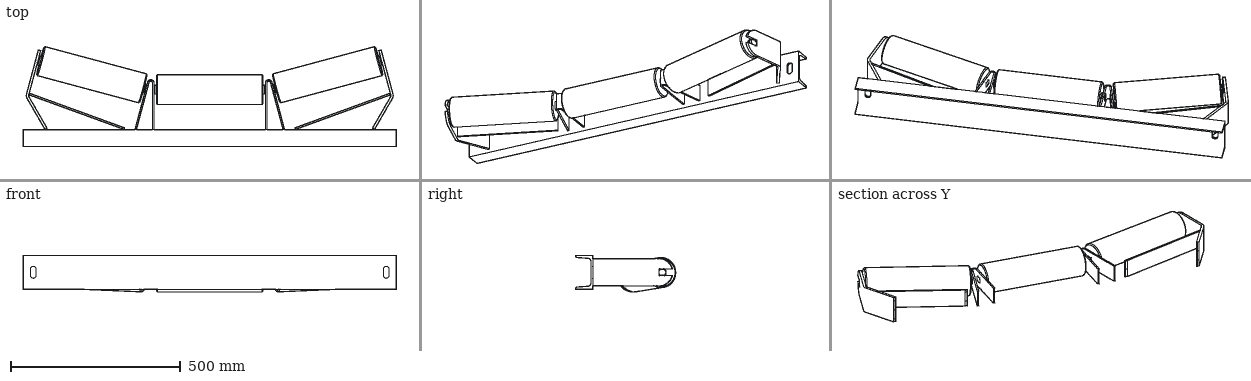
import cadquery as cq
import math


CHANNEL_LENGTH = 1100.0
CHANNEL_HEIGHT = 100.0
CHANNEL_DEPTH = 51.0
WEB_THICKNESS = 6.0
FLANGE_TIP_THICKNESS = 7.0
FLANGE_ROOT_THICKNESS = 10.0
FLANGE_ROOT_RADIUS = 9.0
FLANGE_TIP_RADIUS = 4.0
MOUNT_SLOT_LENGTH = 35.0
MOUNT_SLOT_WIDTH = 18.0
MOUNT_SLOT_X = 520.0
CHANNEL_MID_Z = CHANNEL_HEIGHT / 2

ROLLER_DIAMETER = 89.0
ROLLER_LENGTH = 315.0
ROLLER_EDGE_CHAMFER = 3.0
ROLLER_GAP = 7.0
HUB_RADIUS = 13.0
HUB_LENGTH = 4.0
SHAFT_RADIUS = 11.0
SHAFT_FLATS = 16.0
CENTRE_ROLLER_Y = 118.0
CENTRE_ROLLER_Z = 36.0
WING_ROLLER_X = 348.0
WING_ROLLER_Y = 162.0
WING_ANGLE = 15.0
WING_TILT = 2.4
WING_ROLLER_Z = CENTRE_ROLLER_Z + ROLLER_LENGTH / 2 * math.sin(math.radians(WING_TILT))

INNER_THICKNESS = 5.0
INNER_HEIGHT = 50.0
INNER_LEG_X = ROLLER_LENGTH / 2 + ROLLER_GAP
INNER_BEND_RADIUS = 10.0
INNER_TOP_Y = 147.0
SHAFT_LENGTH = 2 * (INNER_LEG_X + INNER_THICKNESS)
SHAFT_HOLE_OVERRUN = 7.0

OUTER_THICKNESS = 8.0
OUTER_HEIGHT = 80.0
OUTER_BEND_X = 542.0
OUTER_BEND_Y = 98.0
OUTER_BEND_RADIUS = 18.0
OUTER_UPPER_LENGTH = 143.0
OUTER_LOWER_ANGLE = 30.0
SLOT_WIDTH = 20.0
SLOT_CORNER_RADIUS = 3.0

BRACE_THICKNESS = 5.0
BRACE_HEIGHT = 53.0
BRACE_MID_Z = 45.0
BRACE_ANGLE = 20.0
BRACE_OFFSET = 3.0


def direction(angle):
    """Unit vector in the XY plane, angle in degrees from +X."""
    return cq.Vector(math.cos(math.radians(angle)), math.sin(math.radians(angle)), 0)


def nearest(x, y, z):
    return cq.selectors.NearestToPointSelector((x, y, z))


def upright_prism(points, height, mid_z):
    """Closed XY polygon extruded along Z and centred on mid_z."""
    outline = cq.Workplane("XY", origin=(0, 0, mid_z - height / 2))
    return outline.polyline([(p.x, p.y) for p in points]).close().extrude(height)


def x_cylinder(radius, length):
    """Cylinder along X, centred on the origin."""
    return cq.Workplane("YZ", origin=(-length / 2, 0, 0)).circle(radius).extrude(length)


def make_channel():
    half_height = CHANNEL_HEIGHT / 2
    root_z = half_height - FLANGE_ROOT_THICKNESS
    tip_z = half_height - FLANGE_TIP_THICKNESS
    channel = (
        cq.Workplane("YZ", origin=(-CHANNEL_LENGTH / 2, 0, 0))
        .polyline([
            (0, -half_height),
            (0, half_height),
            (-CHANNEL_DEPTH, half_height),
            (-CHANNEL_DEPTH, tip_z),
            (-WEB_THICKNESS, root_z),
            (-WEB_THICKNESS, -root_z),
            (-CHANNEL_DEPTH, -tip_z),
            (-CHANNEL_DEPTH, -half_height),
        ])
        .close()
        .extrude(CHANNEL_LENGTH)
    )
    for side in (-1, 1):
        channel = channel.edges(nearest(0, -WEB_THICKNESS, side * root_z)).fillet(FLANGE_ROOT_RADIUS)
        channel = channel.edges(nearest(0, -CHANNEL_DEPTH, side * tip_z)).fillet(FLANGE_TIP_RADIUS)
    mount_slots = (
        cq.Workplane("XZ")
        .pushPoints([(-MOUNT_SLOT_X, 0), (MOUNT_SLOT_X, 0)])
        .slot2D(MOUNT_SLOT_LENGTH, MOUNT_SLOT_WIDTH, 90)
        .extrude(WEB_THICKNESS)
    )
    return channel.cut(mount_slots).translate((0, 0, CHANNEL_MID_Z))


def make_shaft(length):
    """Shaft along X with a flat on its upper and lower sides."""
    flats = cq.Workplane("XY").box(length, 2 * SHAFT_RADIUS, SHAFT_FLATS)
    return x_cylinder(SHAFT_RADIUS, length).intersect(flats)


def make_roller():
    shell = x_cylinder(ROLLER_DIAMETER / 2, ROLLER_LENGTH)
    shell = shell.faces("<X or >X").chamfer(ROLLER_EDGE_CHAMFER)
    hubs = x_cylinder(HUB_RADIUS, ROLLER_LENGTH + 2 * HUB_LENGTH)
    return shell.union(hubs).union(make_shaft(SHAFT_LENGTH))


def place_centre(shape):
    return shape.translate((0, CENTRE_ROLLER_Y, CENTRE_ROLLER_Z))


def place_wing(shape):
    """Move a shape from the X axis to the left wing roller's axis."""
    tilted = shape.rotate((0, 0, 0), (0, 1, 0), WING_TILT)
    swung = tilted.rotate((0, 0, 0), (0, 0, 1), -WING_ANGLE)
    return swung.translate((-WING_ROLLER_X, WING_ROLLER_Y, WING_ROLLER_Z))


def folded_blank(bend_radius):
    """Solid wedge bounded by both legs, their bend and the channel face."""
    bend_x = -INNER_LEG_X - INNER_BEND_RADIUS
    bend_y = INNER_TOP_Y - INNER_BEND_RADIUS
    bend_centre = cq.Vector(bend_x, bend_y, 0)
    bend_middle = bend_centre + direction(90 - WING_ANGLE / 2) * bend_radius
    bend_end = bend_centre + direction(180 - WING_ANGLE) * bend_radius
    foot_x = bend_end.x - bend_end.y * math.tan(math.radians(WING_ANGLE))
    return (
        cq.Workplane("XY", origin=(0, 0, CENTRE_ROLLER_Z - INNER_HEIGHT / 2))
        .moveTo(bend_x + bend_radius, 0)
        .lineTo(bend_x + bend_radius, bend_y)
        .threePointArc((bend_middle.x, bend_middle.y), (bend_end.x, bend_end.y))
        .lineTo(foot_x, 0)
        .close()
        .extrude(INNER_HEIGHT)
    )


def make_inner_bracket():
    sheet = folded_blank(INNER_BEND_RADIUS).cut(folded_blank(INNER_BEND_RADIUS - INNER_THICKNESS))
    hole = make_shaft(SHAFT_LENGTH + 2 * SHAFT_HOLE_OVERRUN)
    return sheet.cut(place_centre(hole)).cut(place_wing(hole))


UPPER_RUN = direction(90 - WING_ANGLE)
UPPER_NORMAL = direction(-WING_ANGLE)
LOWER_RUN = direction(OUTER_LOWER_ANGLE - 90)
LOWER_NORMAL = direction(OUTER_LOWER_ANGLE)
OUTER_CORNER = cq.Vector(-OUTER_BEND_X, OUTER_BEND_Y, 0)
HALF_BEND_ANGLE = math.radians((WING_ANGLE + OUTER_LOWER_ANGLE) / 2)
CORNER_OFFSET = OUTER_THICKNESS / math.cos(HALF_BEND_ANGLE)
INNER_CORNER = OUTER_CORNER + direction((OUTER_LOWER_ANGLE - WING_ANGLE) / 2) * CORNER_OFFSET


def make_bent_plate():
    top = OUTER_CORNER + UPPER_RUN * OUTER_UPPER_LENGTH
    foot = OUTER_CORNER + LOWER_RUN * (OUTER_BEND_Y / math.cos(math.radians(OUTER_LOWER_ANGLE)))
    outline = [
        top,
        OUTER_CORNER,
        foot,
        foot + LOWER_NORMAL * OUTER_THICKNESS,
        INNER_CORNER,
        top + UPPER_NORMAL * OUTER_THICKNESS,
    ]
    plate = upright_prism(outline, OUTER_HEIGHT, CHANNEL_MID_Z)
    inside_radius = OUTER_BEND_RADIUS - OUTER_THICKNESS
    plate = plate.edges(nearest(OUTER_CORNER.x, OUTER_CORNER.y, CHANNEL_MID_Z)).fillet(OUTER_BEND_RADIUS)
    return plate.edges(nearest(INNER_CORNER.x, INNER_CORNER.y, CHANNEL_MID_Z)).fillet(inside_radius)


def plate_plane(distance):
    """Workplane on the upper plate's outer face, a distance up from the bend."""
    point = OUTER_CORNER + UPPER_RUN * distance
    origin = (point.x, point.y, CHANNEL_MID_Z)
    return cq.Workplane(cq.Plane(origin, UPPER_RUN.toTuple(), UPPER_NORMAL.toTuple()))


def make_outer_bracket():
    end_radius = OUTER_HEIGHT / 2
    end_centre = OUTER_UPPER_LENGTH - end_radius
    block_plane = plate_plane(end_centre + end_radius / 2)
    end_block = block_plane.rect(end_radius, OUTER_HEIGHT).extrude(OUTER_THICKNESS)
    end_round = plate_plane(end_centre).circle(end_radius).extrude(OUTER_THICKNESS)
    end_corners = end_block.cut(end_round)

    roller_centre = cq.Vector(-WING_ROLLER_X, WING_ROLLER_Y, 0)
    slot_floor = (roller_centre - OUTER_CORNER).dot(UPPER_RUN) - SHAFT_RADIUS
    slot_depth = OUTER_UPPER_LENGTH - slot_floor
    slot = plate_plane(slot_floor + slot_depth / 2).rect(slot_depth, SLOT_WIDTH).extrude(OUTER_THICKNESS)
    floor_point = OUTER_CORNER + UPPER_RUN * slot_floor + UPPER_NORMAL * (OUTER_THICKNESS / 2)
    for side in (-1, 1):
        corner_z = CHANNEL_MID_Z + side * SLOT_WIDTH / 2
        slot = slot.edges(nearest(floor_point.x, floor_point.y, corner_z)).fillet(SLOT_CORNER_RADIUS)
    return make_bent_plate().cut(end_corners).cut(slot)


def make_brace(outer_bracket):
    """Flat strip from the bend of the outer bracket down to the channel face."""
    start = INNER_CORNER + UPPER_RUN * BRACE_OFFSET
    far_end = start + direction(-BRACE_ANGLE) * (start.y / math.sin(math.radians(BRACE_ANGLE)))
    across = direction(90 - BRACE_ANGLE) * BRACE_THICKNESS
    outline = [start, far_end, far_end + across, start + across]
    return upright_prism(outline, BRACE_HEIGHT, BRACE_MID_Z).cut(outer_bracket)


channel = make_channel()
centre_roller = place_centre(make_roller())
wing_roller = place_wing(make_roller())
inner_bracket = make_inner_bracket()
outer_bracket = make_outer_bracket().cut(wing_roller)
brace = make_brace(outer_bracket)

bodies = [channel.solids().val(), centre_roller.solids().val()]
for left_body in (wing_roller, inner_bracket, outer_bracket, brace):
    bodies.append(left_body.solids().val())
    bodies.append(left_body.mirror("YZ").solids().val())

result = cq.Compound.makeCompound(bodies)